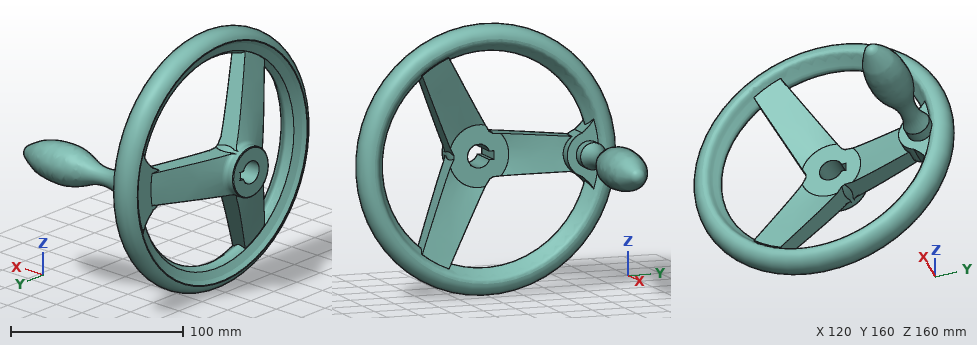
import cadquery as cq
import math


WHEEL_RADIUS = 80.0
RIM_WIDTH = 18.0
RIM_THICKNESS = 16.0
RIM_FRONT = 22.0
RIM_CENTER_X = RIM_FRONT + RIM_WIDTH / 2
RIM_BACK = RIM_FRONT + RIM_WIDTH
RIM_CENTER_RADIUS = WHEEL_RADIUS - RIM_THICKNESS / 2
RIM_INNER_RADIUS = 64.0
RIM_INNER_X = 30.0
RIM_BACK_SHOULDER = (35.7, 67.2)
LAND_OUTER_RADIUS = 73.9
LAND_INNER_RADIUS = 73.4
RECESS_RADIUS = 142.56 / 2
RECESS_INNER_RADIUS = 66.4
RECESS_SLOPE_ANGLE = 25.0

HUB_RADIUS = 31.0 / 2
HUB_LENGTH = 20.0
HUB_CHAMFER = 0.5
HUB_FILLET = 3.0
HUB_BULGE = 0.7
BULGE_START = 6.8
BULGE_END = 18.7
HUB_BACK_RADIUS = 18.5
BORE_RADIUS = 7.0
KEYWAY_WIDTH = 5.0
KEYWAY_REACH = 9.3

SPOKE_COUNT = 3
SPOKE_FRONT_X = 6.0
SPOKE_FRONT_ANGLE = 22.0
SPOKE_BACK_ANGLE = 19.0
SPOKE_ROOT_HALF_WIDTH = 13.3
SPOKE_TAPER = 0.056
SPOKE_END_RADIUS = 67.0

PAD_FRONT = 24.0
PAD_BACK = 37.0
BOSS_RADIUS = 13.6
FLARE_START_HALF_WIDTH = 12.9
FLARE_KNEE = (61.3, 16.1)
FLARE_BEND = (64.5, 20.1)
FLARE_TIP_HALF_WIDTH = 25.1

HANDLE_OFFSET = 62.0
HANDLE_BASE_RADIUS = 16.0 / 2
HANDLE_COLLAR_END = 44.0
NECK_END = 69.5
NECK_RADIUS = 5.3
GRIP_SHOULDER = (79.0, 11.4)
GRIP_CREST = (90.0, 12.5)
GRIP_TAPER = (105.0, 10.4)
GRIP_END = 117.6
HANDLE_END = 120.0
TIP_RADIUS = 5.0


def revolve_about_x(profile):
    return profile.close().revolve(360, (0, 0, 0), (1, 0, 0))


def spoke_front_x(radius):
    return SPOKE_FRONT_X + (radius - HUB_RADIUS) * math.tan(math.radians(SPOKE_FRONT_ANGLE))


def spoke_back_x(radius):
    return HUB_LENGTH + (radius - HUB_BACK_RADIUS) * math.tan(math.radians(SPOKE_BACK_ANGLE))


def rim_front_x(radius):
    offset = (radius - RIM_CENTER_RADIUS) / (RIM_THICKNESS / 2)
    return RIM_CENTER_X - RIM_WIDTH / 2 * math.sqrt(1 - offset ** 2)


def make_rim():
    land_x = rim_front_x(LAND_OUTER_RADIUS)
    slope = math.tan(math.radians(RECESS_SLOPE_ANGLE))
    recess_inner_x = PAD_FRONT + (RECESS_RADIUS - RECESS_INNER_RADIUS) * slope
    land_angle = math.degrees(math.asin((LAND_OUTER_RADIUS - RIM_CENTER_RADIUS) / (RIM_THICKNESS / 2)))
    profile = (
        cq.Workplane("XY")
        .moveTo(land_x, LAND_OUTER_RADIUS)
        .ellipseArc(RIM_WIDTH / 2, RIM_THICKNESS / 2, 0, 180 - land_angle, sense=-1, startAtCurrent=True)
        .spline(
            [RIM_BACK_SHOULDER, (RIM_INNER_X, RIM_INNER_RADIUS), (recess_inner_x, RECESS_INNER_RADIUS)],
            tangents=[(0, -1), (-1, 1)],
            includeCurrent=True,
        )
        .lineTo(PAD_FRONT, RECESS_RADIUS)
        .lineTo(land_x, LAND_INNER_RADIUS)
    )
    return revolve_about_x(profile)


def make_hub():
    bulge_mid = ((BULGE_START + BULGE_END) / 2, HUB_RADIUS + HUB_BULGE)
    profile = (
        cq.Workplane("XY")
        .lineTo(0, HUB_RADIUS - HUB_CHAMFER)
        .lineTo(HUB_CHAMFER, HUB_RADIUS)
        .lineTo(BULGE_START, HUB_RADIUS)
        .threePointArc(bulge_mid, (BULGE_END, HUB_RADIUS))
        .lineTo(HUB_LENGTH, HUB_RADIUS)
        .lineTo(HUB_LENGTH, 0)
    )
    return revolve_about_x(profile)


def make_spoke_envelope():
    """Conical disc, with the hub fillet at its front, that bounds the spokes."""
    turn = math.radians(90 - SPOKE_FRONT_ANGLE)
    fillet_start = SPOKE_FRONT_X - HUB_FILLET * math.tan(turn / 2)
    fillet_center = (fillet_start, HUB_RADIUS + HUB_FILLET)

    def on_fillet(angle):
        return (fillet_center[0] + HUB_FILLET * math.sin(angle),
                fillet_center[1] - HUB_FILLET * math.cos(angle))

    profile = (
        cq.Workplane("XY")
        .moveTo(fillet_start, 0)
        .lineTo(fillet_start, HUB_RADIUS)
        .threePointArc(on_fillet(turn / 2), on_fillet(turn))
        .lineTo(spoke_front_x(SPOKE_END_RADIUS), SPOKE_END_RADIUS)
        .lineTo(spoke_back_x(SPOKE_END_RADIUS), SPOKE_END_RADIUS)
        .lineTo(HUB_LENGTH, HUB_BACK_RADIUS)
        .lineTo(HUB_LENGTH, 0)
    )
    return revolve_about_x(profile)


def make_spokes():
    shoulder_y = SPOKE_ROOT_HALF_WIDTH / (math.tan(math.pi / SPOKE_COUNT) + SPOKE_TAPER)
    shoulder_z = SPOKE_ROOT_HALF_WIDTH - SPOKE_TAPER * shoulder_y
    end_half_width = SPOKE_ROOT_HALF_WIDTH - SPOKE_TAPER * WHEEL_RADIUS
    blade = (
        cq.Workplane("YZ")
        .lineTo(shoulder_y, shoulder_z)
        .lineTo(WHEEL_RADIUS, end_half_width)
        .lineTo(WHEEL_RADIUS, -end_half_width)
        .lineTo(shoulder_y, -shoulder_z)
        .close()
        .extrude(RIM_BACK)
    )
    blades = blade
    for index in range(1, SPOKE_COUNT):
        blades = blades.union(blade.rotate((0, 0, 0), (1, 0, 0), index * 360 / SPOKE_COUNT))
    return make_spoke_envelope().intersect(blades)


def make_handle_pad():
    """Round boss around the handle axis, flaring on both sides into the rim."""
    start_y = HANDLE_OFFSET - math.sqrt(BOSS_RADIUS ** 2 - FLARE_START_HALF_WIDTH ** 2)
    knee_y, knee_z = FLARE_KNEE
    bend_y, bend_z = FLARE_BEND
    tip_y = math.sqrt(RECESS_RADIUS ** 2 - FLARE_TIP_HALF_WIDTH ** 2)
    return (
        cq.Workplane("YZ", origin=(PAD_FRONT, 0, 0))
        .moveTo(start_y, FLARE_START_HALF_WIDTH)
        .lineTo(knee_y, knee_z)
        .threePointArc((bend_y, bend_z), (tip_y, FLARE_TIP_HALF_WIDTH))
        .threePointArc((RECESS_RADIUS, 0), (tip_y, -FLARE_TIP_HALF_WIDTH))
        .threePointArc((bend_y, -bend_z), (knee_y, -knee_z))
        .lineTo(start_y, -FLARE_START_HALF_WIDTH)
        .threePointArc((HANDLE_OFFSET - BOSS_RADIUS, 0), (start_y, FLARE_START_HALF_WIDTH))
        .close()
        .extrude(PAD_BACK - PAD_FRONT)
    )


def make_handle():
    neck_half_length = (NECK_END - HANDLE_COLLAR_END) / 2
    neck_mid = (HANDLE_COLLAR_END + neck_half_length, NECK_RADIUS)
    neck_depth = HANDLE_BASE_RADIUS - NECK_RADIUS
    neck_curve = (neck_half_length ** 2 + neck_depth ** 2) / (2 * neck_depth)

    tip_center = HANDLE_END - TIP_RADIUS
    tip_start_offset = GRIP_END - tip_center
    tip_start_angle = math.acos(tip_start_offset / TIP_RADIUS)
    tip_start_radius = TIP_RADIUS * math.sin(tip_start_angle)
    tip_mid = (tip_center + TIP_RADIUS * math.cos(tip_start_angle / 2),
               TIP_RADIUS * math.sin(tip_start_angle / 2))
    profile = (
        cq.Workplane("XY")
        .moveTo(PAD_BACK, 0)
        .lineTo(PAD_BACK, HANDLE_BASE_RADIUS)
        .lineTo(HANDLE_COLLAR_END, HANDLE_BASE_RADIUS)
        .threePointArc(neck_mid, (NECK_END, HANDLE_BASE_RADIUS))
        .spline(
            [GRIP_SHOULDER, GRIP_CREST, GRIP_TAPER, (GRIP_END, tip_start_radius)],
            tangents=[(neck_curve - neck_depth, neck_half_length), (tip_start_radius, -tip_start_offset)],
            includeCurrent=True,
        )
        .threePointArc(tip_mid, (HANDLE_END, 0))
    )
    return revolve_about_x(profile).translate((0, HANDLE_OFFSET, 0))


def make_bore():
    bore = cq.Workplane("YZ").circle(BORE_RADIUS).extrude(HUB_LENGTH)
    keyway = (
        cq.Workplane("YZ")
        .center(KEYWAY_REACH / 2, 0)
        .rect(KEYWAY_REACH, KEYWAY_WIDTH)
        .extrude(HUB_LENGTH)
    )
    return bore.union(keyway)


result = (
    make_rim()
    .union(make_hub())
    .union(make_spokes())
    .union(make_handle_pad())
    .union(make_handle())
    .cut(make_bore())
)